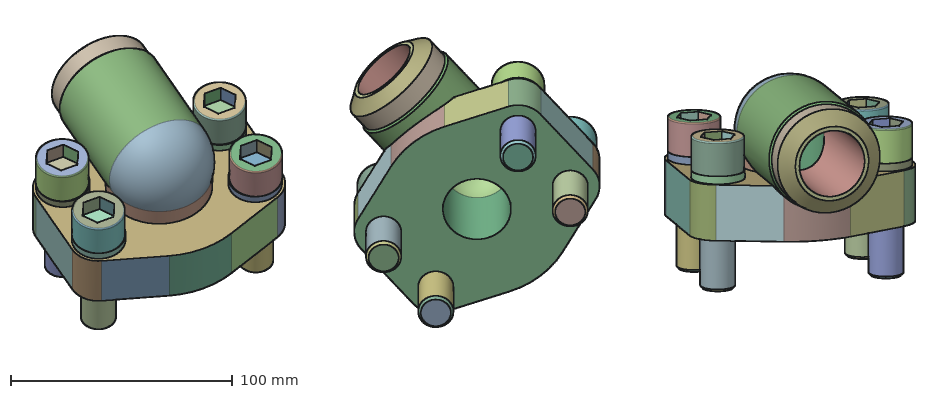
import cadquery as cq
import math

plate_height = 26.0
plate_round_radius = 44.4
plate_width = 106.0
plate_half_width = plate_width / 2
bolt_x = 18.3
bolt_y = 39.7
corner_radius = plate_half_width - bolt_y

axis_height = 41.1
elbow_diameter = 50.3
neck_diameter = 48.3
bore_diameter = 30.7
arm_length = 109.4 - plate_round_radius
shoulder_x = -50.0
shoulder_step = (elbow_diameter - neck_diameter) / 2
end_bevel_length = 5.0
end_rim_diameter = 34.6

collar_x = 18.0
collar_y = 39.5
collar_diameter = 24.4
collar_height = 3.6

head_diameter = 24.0
head_height = 16.0
head_fillet = 0.5
shank_diameter = 16.0
shank_length = 55.0
tip_diameter = 13.6
tip_length = 1.3
socket_corner_diameter = 16.2
socket_depth = 8.0

head_seat = plate_height + collar_height


def make_plate():
    """Plate outlined by two end rounds and four corner rounds joined by tangent lines."""
    bolt_distance = math.hypot(bolt_x, bolt_y)
    tangent_angle = math.atan2(bolt_y, bolt_x) - math.acos(
        (plate_round_radius - corner_radius) / bolt_distance
    )
    corner_mid_angle = (tangent_angle + math.pi / 2) / 2

    def corner_point(angle, x_side, y_side):
        x = bolt_x + corner_radius * math.cos(angle)
        y = bolt_y + corner_radius * math.sin(angle)
        return (x_side * x, y_side * y)

    def round_point(x_side, y_side):
        x = plate_round_radius * math.cos(tangent_angle)
        y = plate_round_radius * math.sin(tangent_angle)
        return (x_side * x, y_side * y)

    outline = cq.Workplane("XY").moveTo(-bolt_x, plate_half_width)
    for side in (1, -1):
        outline = (
            outline.lineTo(side * bolt_x, side * plate_half_width)
            .threePointArc(
                corner_point(corner_mid_angle, side, side),
                corner_point(tangent_angle, side, side),
            )
            .lineTo(*round_point(side, side))
            .threePointArc((side * plate_round_radius, 0), round_point(side, -side))
            .lineTo(*corner_point(tangent_angle, side, -side))
            .threePointArc(
                corner_point(corner_mid_angle, side, -side),
                (side * bolt_x, -side * plate_half_width),
            )
        )
    return outline.close().extrude(plate_height)


def make_elbow_body():
    """Solid elbow: stepped and bevelled arm, ball at the bend and vertical neck."""
    arm_profile = [
        (0, 0),
        (0, elbow_diameter / 2),
        (shoulder_x, elbow_diameter / 2),
        (shoulder_x - shoulder_step, neck_diameter / 2),
        (end_bevel_length - arm_length, neck_diameter / 2),
        (-arm_length, end_rim_diameter / 2),
        (-arm_length, 0),
    ]
    arm = (
        cq.Workplane("XZ")
        .polyline(arm_profile)
        .close()
        .revolve(360, (0, 0, 0), (1, 0, 0))
        .translate((0, 0, axis_height))
    )
    ball = cq.Workplane("XY").sphere(elbow_diameter / 2).translate((0, 0, axis_height))
    neck = cq.Workplane("XY").circle(neck_diameter / 2).extrude(axis_height)
    return arm.union(ball).union(neck)


def make_bore():
    """Passage from the arm end, round the bend and out through the plate underside."""
    horizontal = (
        cq.Workplane("YZ", origin=(-arm_length, 0, axis_height))
        .circle(bore_diameter / 2)
        .extrude(arm_length)
    )
    bend = cq.Workplane("XY").sphere(bore_diameter / 2).translate((0, 0, axis_height))
    vertical = cq.Workplane("XY").circle(bore_diameter / 2).extrude(axis_height)
    return horizontal.union(bend).union(vertical)


def make_bolt():
    """Socket head bolt with its seat at the origin and its shank pointing down."""
    head = (
        cq.Workplane("XY")
        .circle(head_diameter / 2)
        .extrude(head_height)
        .faces(">Z")
        .fillet(head_fillet)
    )
    shank = (
        cq.Workplane("XY")
        .circle(shank_diameter / 2)
        .extrude(-shank_length)
        .faces("<Z")
        .chamfer(tip_length, (shank_diameter - tip_diameter) / 2)
    )
    socket = (
        cq.Workplane("XY", origin=(0, 0, head_height - socket_depth))
        .polygon(6, socket_corner_diameter)
        .extrude(socket_depth)
        .rotate((0, 0, 0), (0, 0, 1), 90)
    )
    return head.union(shank).cut(socket)


result = make_plate().union(make_elbow_body()).cut(make_bore())

collar = cq.Workplane("XY").circle(collar_diameter / 2).extrude(collar_height)
bolt = make_bolt()
for x_side in (-1, 1):
    for y_side in (-1, 1):
        result = result.union(
            collar.translate((x_side * collar_x, y_side * collar_y, plate_height))
        )
        result = result.union(bolt.translate((x_side * bolt_x, y_side * bolt_y, head_seat)))